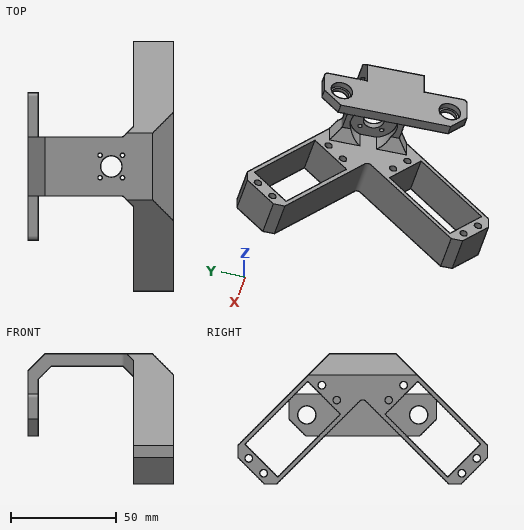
import cadquery as cq
import math

slope = math.sqrt(0.5)
length = 69.0

bridge_thickness = 6.0
bridge_half_width = 14.0
front_outer_chamfer = 8.0
front_inner_chamfer = 6.0
rear_chamfer = 10.0

plate_thickness = 5.0
plate_half_width = 35.0
plate_height = 20.0
plate_top = -19.0
plate_bottom = plate_top - plate_height
plate_corner_radius = 2.0
plate_bottom_chamfer = 8.0
bearing_y = 26.5
bearing_z = plate_top - plate_height / 2
bearing_hole = 8.5
bearing_seat = 10.5
bearing_seat_depth = 3.0

horn_x = 39.5
horn_hole = 10.0
horn_recess = 22.5
horn_recess_depth = 3.0
horn_screw_hole = 2.0
horn_screw_circle = 15.0
horn_screw_pitch = horn_screw_circle * slope

leg_depth = 19.0
leg_front = length - leg_depth
leg_width = 26.0
leg_length = 61.757
leg_end_chamfer = 4.0
crotch_z = -21.0
crotch_radius = 2.0
ridge_z = crotch_z + leg_width / slope

pocket_start = 12.9
pocket_length = 42.0
pocket_width = 21.95
pocket_wall = 2.0
pocket_end = pocket_start + pocket_length
pocket_top = leg_width - pocket_wall
pocket_floor = pocket_top - pocket_width
servo_screw_hole = 3.5
servo_screw_pitch = 10.0
servo_screw_offset = 3.5

gusset = 5.0
gusset_radius = 2.0
gusset_start = leg_front - gusset


def leg_point(u, v):
    """(Y, Z) of a point in the +Y leg."""
    return (u + v) * slope, crotch_z + (v - u) * slope


leg_spread = leg_point(leg_length - leg_end_chamfer, leg_width)[0]
leg_reach = -leg_point(leg_length, leg_end_chamfer)[1]


def mirror_y(point):
    return -point[0], point[1]


def symmetric_outline(half):
    """Complete the +Y half of an outline with its mirror image."""
    return half + [mirror_y(point) for point in reversed(half)]


def prism_x(points, x_start, x_end):
    """Extrude a (Y, Z) outline from x_start to x_end."""
    plane = cq.Workplane("YZ", origin=(x_start, 0, 0))
    return plane.polyline(points).close().extrude(x_end - x_start)


def cylinder_x(points, diameter, x_start, x_end):
    """Cylinders along X at the given (Y, Z) points."""
    plane = cq.Workplane("YZ", origin=(x_start, 0, 0))
    return plane.pushPoints(points).circle(diameter / 2).extrude(x_end - x_start)


def side_profile():
    """Bent arm: front wall, bridge and rear block, over the full width."""
    points = [
        (0, plate_bottom),
        (0, -front_outer_chamfer),
        (front_outer_chamfer, 0),
        (length - rear_chamfer, 0),
        (length, -rear_chamfer),
        (length, -leg_reach),
        (leg_front, -leg_reach),
        (leg_front, -bridge_thickness - gusset),
        (gusset_start, -bridge_thickness),
        (plate_thickness + front_inner_chamfer, -bridge_thickness),
        (plate_thickness, -bridge_thickness - front_inner_chamfer),
        (plate_thickness, plate_bottom),
    ]
    plane = cq.Workplane("XZ", origin=(0, leg_spread, 0))
    return plane.polyline(points).close().extrude(2 * leg_spread)


def make_front_plate():
    shoulder = plate_half_width - plate_bottom_chamfer
    plate = prism_x(
        symmetric_outline([
            (plate_half_width, plate_top),
            (plate_half_width, plate_bottom + plate_bottom_chamfer),
            (shoulder, plate_bottom),
        ]),
        0,
        plate_thickness,
    )
    top_corners = plate.edges("|X").edges(">Z")
    return top_corners.fillet(plate_corner_radius)


def make_bridge():
    """Flared plan, cut to the bent side profile and to the planes of the upper leg faces."""
    flare_half_width = bridge_half_width + gusset
    half_plan = [
        (0, bridge_half_width),
        (gusset_start, bridge_half_width),
        (leg_front, flare_half_width),
    ]
    other_half = [(x, -y) for x, y in reversed(half_plan)]
    bridge = cq.Workplane("XY").polyline(half_plan + other_half).close().extrude(plate_bottom)
    flare_roots = bridge.edges("|Z").edges(cq.selectors.BoxSelector(
        (gusset_start - gusset / 2, -plate_half_width, plate_bottom),
        (gusset_start + gusset / 2, plate_half_width, 0),
    ))
    bridge = flare_roots.fillet(gusset_radius)
    roof_half_width = ridge_z - plate_bottom
    roof = prism_x(
        [(0, ridge_z), (roof_half_width, plate_bottom), (-roof_half_width, plate_bottom)],
        0,
        length,
    )
    return bridge.intersect(side_profile()).intersect(roof)


def make_legs():
    """V of both legs with chamfered ends, cut to the flat top and rear chamfer."""
    chamfer_start = leg_length - leg_end_chamfer
    half = [
        leg_point(chamfer_start, leg_width),
        leg_point(leg_length, leg_width - leg_end_chamfer),
        leg_point(leg_length, leg_end_chamfer),
        leg_point(chamfer_start, 0),
    ]
    crotch = (0, crotch_z)
    outline = [(0, ridge_z)] + half + [crotch] + [mirror_y(point) for point in reversed(half)]
    legs = prism_x(outline, leg_front, length)
    crotch_edge = legs.edges("|X").edges(cq.selectors.NearestToPointSelector((length, 0, crotch_z)))
    return crotch_edge.fillet(crotch_radius).intersect(side_profile())


def servo_pockets():
    corners = [
        leg_point(u, v)
        for u, v in [
            (pocket_start, pocket_floor),
            (pocket_end, pocket_floor),
            (pocket_end, pocket_top),
            (pocket_start, pocket_top),
        ]
    ]
    pocket = prism_x(corners, leg_front, length)
    return pocket.union(pocket.mirror("XZ"))


def servo_screw_holes():
    points = [
        leg_point(u, leg_width / 2 + side * servo_screw_pitch / 2)
        for u in (pocket_start - servo_screw_offset, pocket_end + servo_screw_offset)
        for side in (-1, 1)
    ]
    points += [mirror_y(point) for point in points]
    return cylinder_x(points, servo_screw_hole, leg_front, length)


def bearing_holes():
    points = [(-bearing_y, bearing_z), (bearing_y, bearing_z)]
    holes = cylinder_x(points, bearing_hole, 0, plate_thickness)
    return holes.union(cylinder_x(points, bearing_seat, 0, bearing_seat_depth))


def horn_mount():
    """Centre hole, four screw holes and the recess open to the underside of the bridge."""
    top = cq.Workplane("XY", origin=(horn_x, 0, 0))
    hole = top.circle(horn_hole / 2).extrude(-bridge_thickness)
    screws = top.rect(horn_screw_pitch, horn_screw_pitch, forConstruction=True).vertices()
    screws = screws.circle(horn_screw_hole / 2).extrude(-bridge_thickness)
    recess_top = cq.Workplane("XY", origin=(horn_x, 0, horn_recess_depth - bridge_thickness))
    recess = recess_top.circle(horn_recess / 2).extrude(-gusset - horn_recess_depth)
    return hole.union(screws).union(recess)


front_plate = make_front_plate().cut(bearing_holes())
bridge = make_bridge().cut(horn_mount())
legs = make_legs().cut(servo_pockets()).cut(servo_screw_holes())
result = bridge.union(front_plate).union(legs)